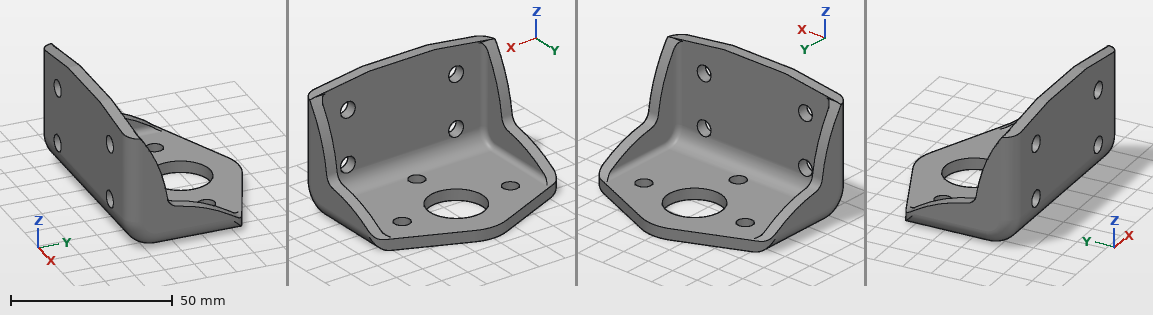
import cadquery as cq
import math

width = 71.0
depth = 52.0
height = 42.0
thickness = 4.0
half_width = width / 2

bend_outer_radius = 10.0
bend_inner_radius = bend_outer_radius - thickness
side_outer_radius = 5.0
side_inner_radius = 2.0

base_corner_depth = 38.0
base_corner_radius = 5.0
nose_radius = 15.0

wall_flat_half_width = 12.5
wall_end_height = 38.9

gusset_arc_radius = 50.0
base_arc_center = (8.45, -36.15)
wall_arc_center = (-36.4, 9.7)
gusset_elbow_radius = 4.0
gusset_foot_radius = 5.0

small_hole_diameter = 5.6
pilot_hole_diameter = 20.0
pilot_hole_y = 32.5
bolt_circle_radius = 20.7
wall_hole_heights = (12.0, 31.0)

clearance = 10.0
margin = 1.0


def arc_middle(center, radius, start, end):
    """Midpoint of the shorter arc from start to end."""
    toward_y = (start[0] + end[0]) / 2 - center[0]
    toward_z = (start[1] + end[1]) / 2 - center[1]
    scale = radius / math.hypot(toward_y, toward_z)
    return (center[0] + toward_y * scale, center[1] + toward_z * scale)


def point_between(start, end, fraction):
    """Point at the given fraction of the way from start to end."""
    return tuple(a + (b - a) * fraction for a, b in zip(start, end))


def gusset_profile():
    """Side profile: both plates joined by gussets with a curved free edge."""
    foot_z = thickness + gusset_foot_radius
    foot_reach = gusset_arc_radius + gusset_foot_radius
    foot_y = base_arc_center[0] + math.sqrt(foot_reach**2 - (foot_z - base_arc_center[1]) ** 2)
    foot_center = (foot_y, foot_z)
    foot_start = (foot_y, thickness)
    foot_end = point_between(base_arc_center, foot_center, gusset_arc_radius / foot_reach)
    foot_middle = arc_middle(foot_center, gusset_foot_radius, foot_start, foot_end)

    elbow_reach = gusset_arc_radius + gusset_elbow_radius
    elbow_fraction = gusset_arc_radius / elbow_reach
    half_gap_y = (base_arc_center[0] - wall_arc_center[0]) / 2
    half_gap_z = (wall_arc_center[1] - base_arc_center[1]) / 2
    half_gap = math.hypot(half_gap_y, half_gap_z)
    rise = math.sqrt(elbow_reach**2 - half_gap**2) / half_gap
    elbow_center = (
        wall_arc_center[0] + half_gap_y + half_gap_z * rise,
        base_arc_center[1] + half_gap_z + half_gap_y * rise,
    )
    elbow_start = point_between(base_arc_center, elbow_center, elbow_fraction)
    elbow_end = point_between(wall_arc_center, elbow_center, elbow_fraction)
    elbow_middle = arc_middle(elbow_center, gusset_elbow_radius, elbow_start, elbow_end)

    wall_reach = thickness - wall_arc_center[0]
    wall_end = (thickness, wall_arc_center[1] + math.sqrt(gusset_arc_radius**2 - wall_reach**2))

    base_middle = arc_middle(base_arc_center, gusset_arc_radius, foot_end, elbow_start)
    wall_middle = arc_middle(wall_arc_center, gusset_arc_radius, elbow_end, wall_end)

    profile = (
        cq.Workplane("YZ", origin=(-half_width, 0, 0))
        .moveTo(0, 0)
        .lineTo(depth, 0)
        .lineTo(depth, thickness)
        .lineTo(*foot_start)
        .threePointArc(foot_middle, foot_end)
        .threePointArc(base_middle, elbow_start)
        .threePointArc(elbow_middle, elbow_end)
        .threePointArc(wall_middle, wall_end)
        .lineTo(thickness, height)
        .lineTo(0, height)
        .close()
    )
    return profile.extrude(width)


def rounded_envelope():
    """Outer block with the bend and the bent-up side edges rounded."""
    block = cq.Workplane("XY").box(width, depth, height, centered=(True, False, False))
    block = block.edges("|X and <Y and <Z").fillet(bend_outer_radius)
    near_edges = cq.selectors.BoxSelector(
        (-width, -margin, -margin), (width, depth - margin, height - margin)
    )
    return block.faces("<X or >X").edges(near_edges).fillet(side_outer_radius)


def inner_cavity():
    """Space between the gussets, above the base plate and behind the wall."""
    cavity = cq.Workplane("XY").box(
        width - 2 * thickness, depth + clearance, height + clearance, centered=(True, False, False)
    )
    cavity = cavity.translate((0, thickness, thickness))
    cavity = cavity.edges("|X and <Y and <Z").fillet(bend_inner_radius)
    return cavity.edges("|Z and <Y").fillet(side_inner_radius)


def base_outline():
    """Plan outline: straight sides, sloping shoulders and a rounded nose."""
    nose_center_y = depth - nose_radius
    rise = base_corner_depth - nose_center_y
    corner_distance = math.hypot(half_width, rise)
    normal_angle = math.acos(nose_radius / corner_distance) + math.atan2(rise, half_width)
    tip_y = nose_center_y + nose_radius / math.sin(normal_angle)
    outline = (
        cq.Workplane("XY")
        .polyline(
            [
                (-half_width, 0),
                (half_width, 0),
                (half_width, base_corner_depth),
                (0, tip_y),
                (-half_width, base_corner_depth),
            ]
        )
        .close()
        .extrude(height)
    )
    outline = outline.edges("|Z and >Y").fillet(nose_radius)
    corners = cq.selectors.BoxSelector(
        (-width, base_corner_depth - margin, 0), (width, base_corner_depth + margin, height)
    )
    return outline.edges("|Z").edges(corners).fillet(base_corner_radius)


def wall_outline():
    """Wall outline: flat top sloping down toward both sides."""
    return (
        cq.Workplane("XZ")
        .polyline(
            [
                (-half_width, 0),
                (half_width, 0),
                (half_width, wall_end_height),
                (wall_flat_half_width, height),
                (-wall_flat_half_width, height),
                (-half_width, wall_end_height),
            ]
        )
        .close()
        .extrude(-depth)
    )


def base_holes():
    """Pilot hole and three screw holes on its bolt circle."""
    pilot = cq.Workplane("XY").center(0, pilot_hole_y).circle(pilot_hole_diameter / 2).extrude(height)
    screws = (
        cq.Workplane("XY")
        .center(0, pilot_hole_y)
        .pushPoints([(-bolt_circle_radius, 0), (bolt_circle_radius, 0), (0, -bolt_circle_radius)])
        .circle(small_hole_diameter / 2)
        .extrude(height)
    )
    return pilot.union(screws)


def wall_holes():
    """Four mounting holes through the upright wall."""
    places = [(side * bolt_circle_radius, z) for side in (-1, 1) for z in wall_hole_heights]
    return cq.Workplane("XZ").pushPoints(places).circle(small_hole_diameter / 2).extrude(-depth)


bracket = rounded_envelope().cut(inner_cavity())
bracket = bracket.intersect(gusset_profile())
bracket = bracket.intersect(base_outline())
bracket = bracket.intersect(wall_outline())
result = bracket.cut(base_holes()).cut(wall_holes())